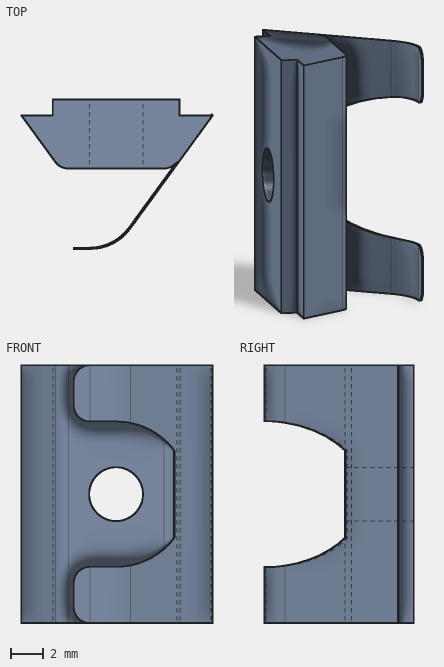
import cadquery as cq
import math

length = 16.0
body_width = 11.78
neck_width = 7.87
neck_depth = 1.0
body_depth = 4.3
front_width = 6.95
edge_radius = 1.0
hole_diameter = 3.33

sheet = 0.1
overall_depth = 9.3
bend_radius = 3.0
spring_overhang = 0.06
tab_end_x = -2.62
tab_corner_radius = 1.0
cutout_radius = 4.51
cutout_limit_x = 3.65

flank_run = (body_width - front_width) / 2
flank_rise = body_depth - neck_depth
flank_angle = math.atan2(flank_rise, flank_run)
along = cq.Vector(math.cos(flank_angle), math.sin(flank_angle))
outward = cq.Vector(math.sin(flank_angle), -math.cos(flank_angle))
flank_back = cq.Vector(body_width / 2, -neck_depth)


def make_body():
    """Dovetail nut with a raised back strip, rounded front edges and a through hole."""
    half_profile = [
        (0, 0),
        (neck_width / 2, 0),
        (neck_width / 2, -neck_depth),
        (body_width / 2, -neck_depth),
        (front_width / 2, -body_depth),
        (0, -body_depth),
    ]
    half = cq.Workplane("XY").polyline(half_profile).close().extrude(length / 2, both=True)
    body = half.union(half.mirror("YZ")).clean()
    body = body.faces("<Y").edges("|Z").fillet(edge_radius)
    hole = cq.Workplane("XZ").circle(hole_diameter / 2).extrude(body_depth)
    return body.cut(hole)


def make_spring():
    """Bent sheet with a rounded cutout that leaves two tabs in front of the nut."""
    outer_radius = bend_radius + sheet
    bend_y = -overall_depth + outer_radius
    bend_drop = flank_back.y - bend_y - bend_radius * outward.y
    bend_x = flank_back.x - bend_drop / math.tan(flank_angle) - bend_radius * outward.x
    bend_center = cq.Vector(bend_x, bend_y)
    half_turn = cq.Vector(math.sin(flank_angle / 2), -math.cos(flank_angle / 2))
    forward = cq.Vector(0, -1)
    inner_end = flank_back + along * spring_overhang

    def bend_point(radius, direction):
        return (bend_center + direction * radius).toTuple()[:2]

    strip = (
        cq.Workplane("XY")
        .moveTo(tab_end_x, -overall_depth)
        .lineTo(bend_x, -overall_depth)
        .threePointArc(bend_point(outer_radius, half_turn), bend_point(outer_radius, outward))
        .lineTo(*(inner_end + outward * sheet).toTuple()[:2])
        .lineTo(*inner_end.toTuple()[:2])
        .lineTo(*bend_point(bend_radius, outward))
        .threePointArc(bend_point(bend_radius, half_turn), bend_point(bend_radius, forward))
        .lineTo(tab_end_x, -overall_depth + sheet)
        .close()
        .extrude(length / 2, both=True)
    )
    strip = strip.cut(make_cutout())
    return strip.edges("|Y").edges("<X").fillet(tab_corner_radius)


def make_cutout():
    """Slot open to -X, concentric with the hole, squared off across the sheet."""
    slot = (
        cq.Workplane("XZ")
        .moveTo(-body_width, -cutout_radius)
        .lineTo(0, -cutout_radius)
        .threePointArc((cutout_radius, 0), (0, cutout_radius))
        .lineTo(-body_width, cutout_radius)
        .close()
        .extrude(2 * overall_depth)
    )
    outer_back = flank_back + outward * sheet
    limit_distance = (outer_back.x - cutout_limit_x) / along.x
    limit_point = outer_back - along * limit_distance
    limit_plane = cq.Plane(origin=limit_point, xDir=(0, 0, 1), normal=along * -1)
    front_side = cq.Workplane(limit_plane).rect(4 * length, 4 * length).extrude(2 * length)
    return slot.intersect(front_side)


result = make_body().union(make_spring())